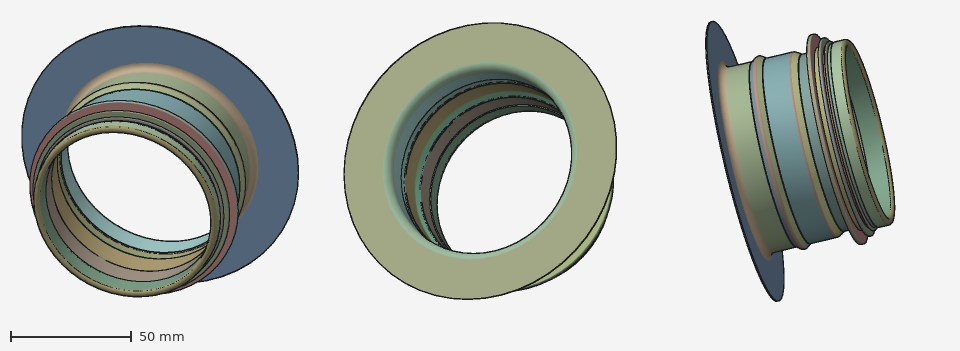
import cadquery as cq
import math

total_length = 54.0
sheet = 0.6
flange_radius = 119 / 2
pipe_radius = 79.0 / 2
neck_radius = 75.5 / 2
mouth_radius = 73.2 / 2

flare_radius = 3.0

bead_center = 16.1
bead_height = 1.7
bead_foot_half_width = 2.9
bead_top_half_width = 0.8
bead_crown = 0.2

taper_start = 30.8
taper_end = 33.8
taper_bend_radius = 1.7

root_bend_radius = 0.5

hem_sheet = 0.5
hem_radius = (pipe_radius - mouth_radius) / 2
hem_roll_depth = total_length - hem_radius
hem_outer_start = 48.1
hem_inner_start = 44.6

seal_radius = pipe_radius - hem_sheet
seal_start = 39.2
fins = [
    (seal_start, 1.8, 89.4 / 2, 0.4),
    (43.5, 1.3, 84.4 / 2, 0.4),
    (45.6, 1.1, 80.7 / 2, 0.51),
]


def revolve(profile):
    """Turn a closed profile of (radius, Y) points about the Y axis."""
    return profile.close().revolve(360, (0, 0, 0), (0, 1, 0))


def ring(inner_radius, outer_radius, start, end):
    """Plain cylindrical ring between two depths."""
    profile = (
        cq.Workplane("XY")
        .moveTo(inner_radius, -start)
        .lineTo(outer_radius, -start)
        .lineTo(outer_radius, -end)
        .lineTo(inner_radius, -end)
    )
    return revolve(profile)


def arc_middle(center_radius, center_depth, radius, angle):
    """Point on a flare or roll arc, at an angle measured from +radius toward +Y."""
    turn = math.radians(angle)
    return (center_radius + radius * math.cos(turn), -center_depth + radius * math.sin(turn))


def make_flange_and_flare():
    center_radius = pipe_radius + flare_radius
    center_depth = sheet + flare_radius
    back_radius = flare_radius + sheet
    profile = (
        cq.Workplane("XY")
        .moveTo(flange_radius, 0)
        .lineTo(flange_radius, -sheet)
        .lineTo(center_radius, -sheet)
        .threePointArc(
            arc_middle(center_radius, center_depth, flare_radius, 135),
            (pipe_radius, -center_depth),
        )
        .lineTo(pipe_radius - sheet, -center_depth)
        .threePointArc(
            arc_middle(center_radius, center_depth, back_radius, 135),
            (center_radius, 0),
        )
    )
    return revolve(profile)


def bend_at(body, depth, radius):
    """Round the circular edge of a body that lies at the given depth."""
    reach = pipe_radius + 2 * bead_height
    tolerance = 0.01
    edge_slab = cq.selectors.BoxSelector(
        (-reach, -depth - tolerance, -reach),
        (reach, -depth + tolerance, reach),
        boundingbox=True,
    )
    return body.edges(edge_slab).fillet(radius)


def make_solid_barrel(inset):
    """Solid of the pipe, bead, taper and neck, with its radii reduced by the inset."""
    wall = pipe_radius - inset
    neck = neck_radius - inset
    bead_top = wall + bead_height - bead_crown
    profile = (
        cq.Workplane("XY")
        .moveTo(0, -sheet - flare_radius)
        .lineTo(wall, -sheet - flare_radius)
        .lineTo(wall, -bead_center + bead_foot_half_width)
        .lineTo(bead_top, -bead_center + bead_top_half_width)
        .threePointArc(
            (bead_top + bead_crown, -bead_center),
            (bead_top, -bead_center - bead_top_half_width),
        )
        .lineTo(wall, -bead_center - bead_foot_half_width)
        .lineTo(wall, -taper_start)
        .lineTo(neck, -taper_end)
        .lineTo(neck, -hem_roll_depth)
        .lineTo(0, -hem_roll_depth)
    )
    barrel = revolve(profile)
    barrel = bend_at(barrel, taper_start, taper_bend_radius)
    root_depths = [
        bead_center - bead_foot_half_width,
        bead_center + bead_foot_half_width,
        taper_end,
    ]
    for depth in root_depths:
        barrel = bend_at(barrel, depth, root_bend_radius)
    return barrel


def make_hem():
    """Outer and inner legs joined by a half-round roll at the mouth."""
    center_radius = mouth_radius + hem_radius
    inner_roll = hem_radius - hem_sheet
    profile = (
        cq.Workplane("XY")
        .moveTo(pipe_radius, -hem_outer_start)
        .lineTo(pipe_radius, -hem_roll_depth)
        .threePointArc((center_radius, -total_length), (mouth_radius, -hem_roll_depth))
        .lineTo(mouth_radius, -hem_inner_start)
        .lineTo(neck_radius - sheet, -hem_inner_start)
        .lineTo(neck_radius - sheet, -hem_roll_depth)
        .lineTo(mouth_radius + hem_sheet, -hem_roll_depth)
        .threePointArc(
            (center_radius, -hem_roll_depth - inner_roll),
            (seal_radius, -hem_roll_depth),
        )
        .lineTo(seal_radius, -hem_outer_start)
    )
    return revolve(profile)


def make_pipe():
    barrel = make_solid_barrel(0).cut(make_solid_barrel(sheet))
    return make_flange_and_flare().union(barrel).union(make_hem())


def make_seal():
    seal = ring(neck_radius, seal_radius, seal_start, hem_roll_depth)
    for start, width, radius, rounding in fins:
        fin = ring(neck_radius, radius, start, start + width)
        rim = cq.selectors.RadiusNthSelector(-1)
        seal = seal.union(fin.edges("%CIRCLE").edges(rim).fillet(rounding))
    return seal


pipe = make_pipe()
seal = make_seal()

result = cq.Compound.makeCompound([pipe.val(), seal.val()])